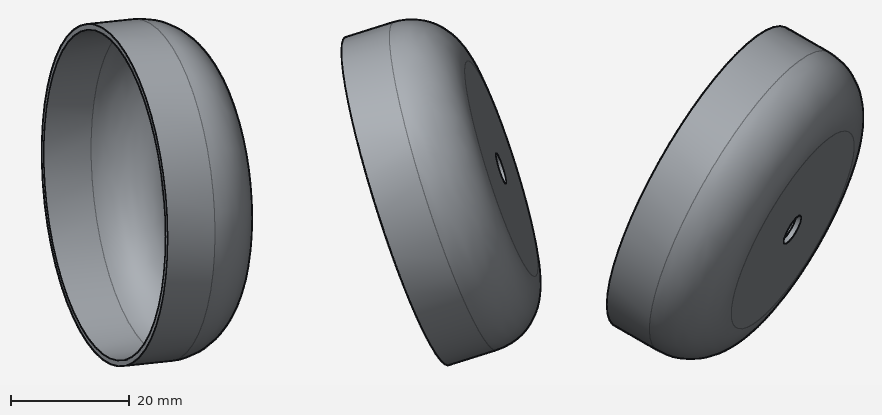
import cadquery as cq

outer_diameter = 58.0
depth = 18.5
wall = 1.0
corner_radius = 10.0
hole_diameter = 5.4

outer_radius = outer_diameter / 2
inner_radius = outer_radius - wall
inner_corner_radius = corner_radius - wall


def rounded_plug(radius, length, rounding):
    """Solid cylinder from Y = 0 toward +Y with its far edge rounded."""
    return cq.Workplane("XZ").circle(radius).extrude(-length).faces(">Y").edges().fillet(rounding)


shell = rounded_plug(outer_radius, depth, corner_radius).cut(
    rounded_plug(inner_radius, depth - wall, inner_corner_radius)
)

hole = cq.Workplane("XZ").circle(hole_diameter / 2).extrude(-depth)

result = shell.cut(hole)